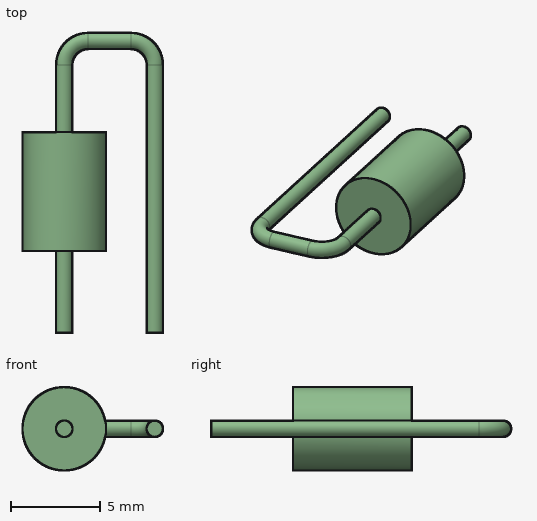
import cadquery as cq

body_diameter = 4.7
body_length = 6.69

lead_diameter = 0.93
lead_spacing = 5.09
bend_radius = 1.35
overall_length = 16.84
body_start_y = 4.58

bridge_y = overall_length - lead_diameter / 2
bend_start_y = bridge_y - bend_radius


def cross_plane(y):
    """Plane across the body axis at the given Y, facing +Y."""
    return cq.Plane(origin=(0, y, 0), xDir=(1, 0, 0), normal=(0, 1, 0))


def make_body():
    """Solid cylinder around the first leg of the lead."""
    return cq.Workplane(cross_plane(body_start_y)).circle(body_diameter / 2).extrude(body_length)


def make_lead():
    """Round wire running up the body axis, across to +X and back down."""
    path = (
        cq.Workplane("XY")
        .lineTo(0, bend_start_y)
        .tangentArcPoint((bend_radius, bridge_y), relative=False)
        .lineTo(lead_spacing - bend_radius, bridge_y)
        .tangentArcPoint((lead_spacing, bend_start_y), relative=False)
        .lineTo(lead_spacing, 0)
    )
    return cq.Workplane(cross_plane(0)).circle(lead_diameter / 2).sweep(path)


result = make_body().union(make_lead())